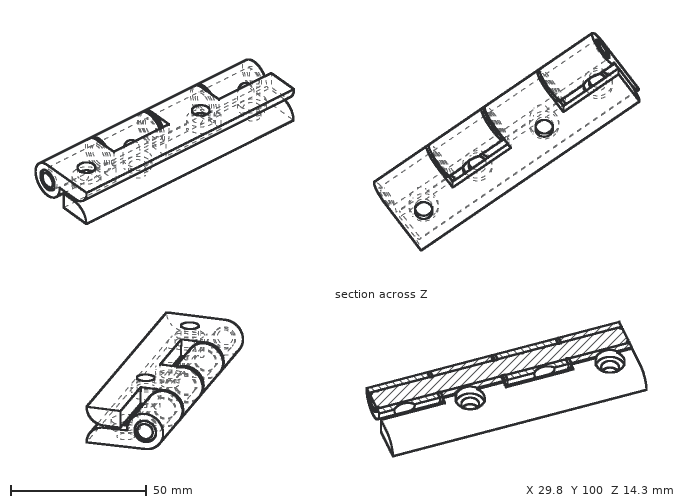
import cadquery as cq
import math


barrel_radius = 7.0
leaf_reach = 22.75
leaf_thickness = 6.6
slot_reach = 9.55
opening_angle = 0.75

hinge_length = 100.0
knuckle_length = 24.0
washer_thickness = 1.0
end_play = 0.5
leaf_offset = 0.25
leaf_length = hinge_length - leaf_offset
knuckle_gap = knuckle_length + 2 * washer_thickness + end_play
knuckle_pitch = knuckle_length + knuckle_gap

screw_hole_diameter = 6.6
head_recess_diameter = 10.8
head_recess_depth = 3.0
screw_reach = 10.6
first_screw = 10.0
screw_pitch = 55.0

pin_diameter = 8.3
pin_chamfer = 1.2


def along_pin(sketch, start, length):
    """Extrude an XZ sketch from Y = start toward +Y."""
    return sketch.extrude(-length).translate((0, start, 0))


def make_leaf():
    """Lower leaf, lying flat, with its first knuckle starting at Y = 0 and the leaf running toward +Y."""
    bottom = -barrel_radius
    top = bottom + leaf_thickness
    edge_radius = leaf_thickness
    edge_mid = edge_radius * math.sqrt(0.5)
    edge_center_x = leaf_reach - edge_radius

    plate_outline = (
        cq.Workplane("XZ")
        .moveTo(0, bottom)
        .lineTo(leaf_reach, bottom)
        .threePointArc((edge_center_x + edge_mid, bottom + edge_mid), (edge_center_x, top))
        .lineTo(0, top)
        .close()
    )
    leaf = along_pin(plate_outline, 0, leaf_length)

    slot_depth = slot_reach + barrel_radius
    for slot_start in (knuckle_length, knuckle_pitch + knuckle_length):
        slot_end = min(slot_start + knuckle_gap, leaf_length)
        slot = cq.Workplane("XY").box(
            slot_depth, slot_end - slot_start, 2 * barrel_radius, centered=(False, False, True)
        )
        leaf = leaf.cut(slot.translate((-barrel_radius, slot_start, 0)))

    for knuckle_start in (0, knuckle_pitch):
        barrel = along_pin(cq.Workplane("XZ").circle(barrel_radius), knuckle_start, knuckle_length)
        leaf = leaf.union(barrel)

    cut_height = 2 * barrel_radius
    recess_floor = top - head_recess_depth
    for screw_y in (first_screw, first_screw + screw_pitch):
        axis = cq.Workplane("XY").center(screw_reach, screw_y)
        hole = axis.circle(screw_hole_diameter / 2).extrude(cut_height, both=True)
        recess = axis.workplane(offset=recess_floor).circle(head_recess_diameter / 2).extrude(cut_height)
        leaf = leaf.cut(hole).cut(recess)

    bore = along_pin(cq.Workplane("XZ").circle(pin_diameter / 2), 0, leaf_length)
    return leaf.cut(bore)


def make_washer(start):
    """Thrust washer around the pin, running from Y = start toward +Y."""
    ring = cq.Workplane("XZ").circle(barrel_radius).circle(pin_diameter / 2)
    return along_pin(ring, start, washer_thickness)


front_end = -hinge_length / 2
back_end = hinge_length / 2
lower_start = back_end - leaf_offset
upper_start = front_end + leaf_offset

lower_leaf = make_leaf().mirror("XZ").translate((0, lower_start, 0))
upper_leaf = (
    make_leaf()
    .mirror("XY")
    .rotate((0, 0, 0), (0, 1, 0), -opening_angle)
    .translate((0, upper_start, 0))
)

pin_length = lower_start - upper_start
pin = along_pin(cq.Workplane("XZ").circle(pin_diameter / 2), upper_start, pin_length)
pin = pin.faces("<Y or >Y").chamfer(pin_chamfer)

washer_starts = (
    upper_start + knuckle_length,
    upper_start + knuckle_pitch - washer_thickness,
    upper_start + knuckle_pitch + knuckle_length,
)
washers = [make_washer(start) for start in washer_starts]

result = cq.Compound.makeCompound(
    [lower_leaf.val(), upper_leaf.val(), pin.val(), *[washer.val() for washer in washers]]
)